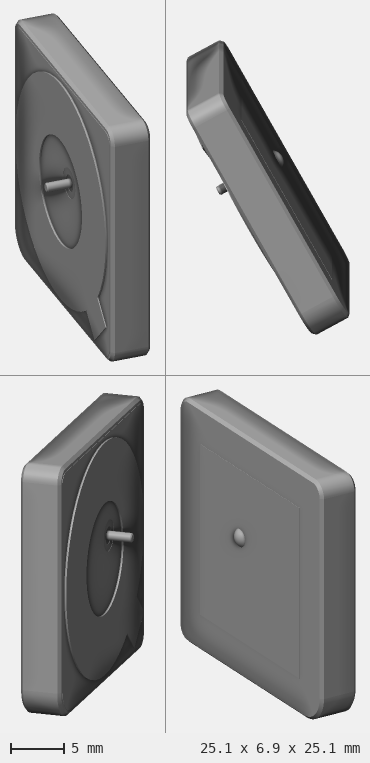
import cadquery as cq


BLOCK_SIDE = 25.1
BLOCK_DEPTH = 4.0
CORNER_RADIUS = 1.5
KEY_CORNER_RADIUS = 2 * CORNER_RADIUS
EDGE_CHAMFER = 0.3

GROUND_INSET = 2 * EDGE_CHAMFER
GROUND_THICKNESS = 0.038
GROUND_HOLE_DIAMETER = 3.05
PATCH_SIDE = 17.57
PATCH_THICKNESS = 0.03

PIN_X = 1.75
PIN_Z = 1.75
PIN_DIAMETER = 0.9
PIN_FRONT_Y = -6.4
PIN_TIP_CHAMFER = 0.1
HEAD_DIAMETER = 1.8
HEAD_REAR_Y = 0.5
RECESS_DIAMETER = 1.7
RECESS_DEPTH = 0.08

RING_OUTER_DIAMETER = 23.0
RING_HOLE_DIAMETER = 11.0
RING_THICKNESS = 0.1
LINER_THICKNESS = 0.1
TAB_REACH = 14.3
TAB_WIDTH = 3.97
TAB_ANGLE = 45.0

BLOCK_FRONT_Y = -BLOCK_DEPTH
GROUND_FRONT_Y = BLOCK_FRONT_Y - GROUND_THICKNESS
RING_FRONT_Y = GROUND_FRONT_Y - RING_THICKNESS
PATCH_REAR_Y = PATCH_THICKNESS


def keyed_plate(inset, rear_y, depth):
    """Block outline moved inwards by inset, extruded from rear_y towards -Y."""
    side = BLOCK_SIDE - 2 * inset
    plate = cq.Workplane("XZ", origin=(0, rear_y, 0)).rect(side, side).extrude(depth)
    plate = plate.edges("|Y and (>X or >Z)").fillet(CORNER_RADIUS - inset)
    return plate.edges("|Y and <X and <Z").fillet(KEY_CORNER_RADIUS - inset)


def disc(diameter, rear_y, depth, x=0.0, z=0.0):
    """Round disc along Y, extruded from rear_y towards -Y."""
    return cq.Workplane("XZ", origin=(x, rear_y, z)).circle(diameter / 2).extrude(depth)


def pin_disc(diameter, rear_y, depth):
    """Round disc on the axis of the feed pin."""
    return disc(diameter, rear_y, depth, PIN_X, PIN_Z)


def ring(rear_y, depth):
    """Flat ring centred on the block."""
    return disc(RING_OUTER_DIAMETER, rear_y, depth).cut(disc(RING_HOLE_DIAMETER, rear_y, depth))


def make_block():
    ceramic = keyed_plate(0, 0, BLOCK_DEPTH).faces("<Y or >Y").chamfer(EDGE_CHAMFER)

    ground = keyed_plate(GROUND_INSET, BLOCK_FRONT_Y, GROUND_THICKNESS)
    ground = ground.cut(pin_disc(GROUND_HOLE_DIAMETER, BLOCK_FRONT_Y, GROUND_THICKNESS))

    patch = cq.Workplane("XZ", origin=(0, PATCH_REAR_Y, 0))
    patch = patch.rect(PATCH_SIDE, PATCH_SIDE).extrude(PATCH_THICKNESS)

    pin_hole = pin_disc(PIN_DIAMETER, PATCH_REAR_Y, PATCH_REAR_Y - BLOCK_FRONT_Y)
    recess = pin_disc(RECESS_DIAMETER, BLOCK_FRONT_Y + RECESS_DEPTH, RECESS_DEPTH)
    return ceramic.union(ground).union(patch).cut(pin_hole).cut(recess)


def make_pin():
    shank = pin_disc(PIN_DIAMETER, PATCH_REAR_Y, PATCH_REAR_Y - PIN_FRONT_Y)
    shank = shank.faces("<Y").chamfer(PIN_TIP_CHAMFER)

    cap_height = HEAD_REAR_Y - PATCH_REAR_Y
    rim_radius = HEAD_DIAMETER / 2
    ball_radius = (rim_radius**2 + cap_height**2) / (2 * cap_height)
    ball_center = (PIN_X, HEAD_REAR_Y - ball_radius, PIN_Z)
    ball = cq.Workplane("XY", origin=ball_center).sphere(ball_radius)
    head = pin_disc(2 * ball_radius, HEAD_REAR_Y, cap_height).intersect(ball)
    return shank.union(head)


def make_adhesive_ring():
    return ring(GROUND_FRONT_Y, RING_THICKNESS)


def make_liner():
    tab = cq.Workplane("XZ", origin=(TAB_REACH / 2, RING_FRONT_Y, 0))
    tab = tab.rect(TAB_REACH, TAB_WIDTH).extrude(LINER_THICKNESS)
    tab = tab.rotate((0, 0, 0), (0, 1, 0), TAB_ANGLE)
    hole = disc(RING_HOLE_DIAMETER, RING_FRONT_Y, LINER_THICKNESS)
    return ring(RING_FRONT_Y, LINER_THICKNESS).union(tab.cut(hole))


block = make_block()
feed_pin = make_pin()
adhesive_ring = make_adhesive_ring()
liner = make_liner()

result = cq.Compound.makeCompound([block.val(), feed_pin.val(), adhesive_ring.val(), liner.val()])